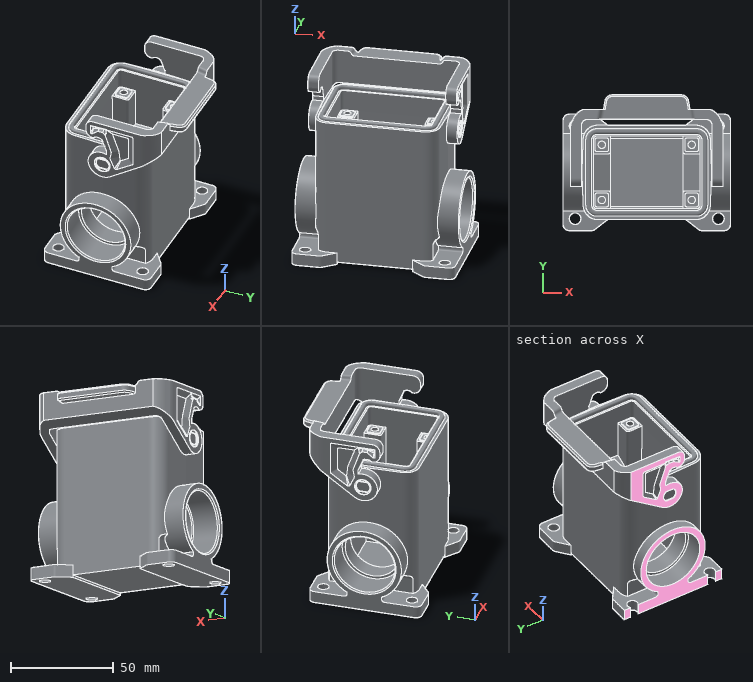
import cadquery as cq
import math

plate_length = 82.0
plate_half_x = plate_length / 2
plate_half_y = 28.55
plate_height = 6.2
plate_corner_radius = 3.1
foot_inner_x = 19.0
foot_bevel_x = 26.1
foot_bevel_radius = 2.4
screw_x = 35.0
screw_y = 22.6
screw_hole_radius = 2.8

body_bottom = 1.2
shoulder_z = 75.4
rim_top = 77.0
body_half_y = 23.1
body_side_x = 31.7
body_corner_x = 30.9
body_corner_radius = 7.1

bead_half_x = 29.8
bead_half_y = 21.4
bead_width = 2.9
bead_corner_radius = 5.5
bead_round = 1.1
rim_ledge_z = 74.8

cavity_half_x = 26.1
cavity_half_y = 17.7
cavity_floor_half_y = 16.6
cavity_corner_radius = 1.6
floor_z = 3.2
sill_inner_x = 17.65
sill_inner_z = 39.9
sill_rise = 4.1

ledge_z = 64.4
post_top = 64.9
post_x = 22.0
post_y = 13.5
pad_size = 6.7
post_inner_y = 9.1
post_edge_radius = 1.1
post_hole_radius = 3.6 / 2
post_hole_depth = 18.5

entry_z = 25.5
entry_radius = 38.0 / 2
entry_bore_radius = 15.5
entry_mouth_radius = 16.3
entry_inner_radius = 13.95
entry_step_x = 26.8
web_half_width = 8.9
web_round = 1.5

relief_x = 28.7
relief_top = 17.0
relief_round = 3.0

lever_top = 92.4
lever_outer_x = 37.3
lever_inner_x = 31.9
lever_back_y = 30.9
lever_back_inner_y = 25.9
lever_back_bottom = 78.5
lever_inner_radius = 2.8
lever_corner_x = 31.0
lever_corner_y = 21.8
pivot_y = 1.85
pivot_z = 67.4
pivot_radius = 7.5
hook_front_y = -6.8
hook_round = 3.8
hook_tip_start_z = 85.9
hook_tip_end = (-2.6, 82.6)
hook_tip_radius = 3.7
hook_throat_top = (-0.3, 83.6)
hook_throat_end = (1.85, 82.6)
neck_front_y = 4.2
neck_top_z = 76.8

corner_arc_mid = (33.5, 29.4)
corner_flat_start = (35.6, 26.9)
corner_flat_end = (36.9, 24.5)
cheek_arc_mid = (37.2, 23.2)

pin_radius = 4.2
pin_overlap = 0.9
pin_recess_depth = 0.4
pin_flat_radius = 3.5
pin_flat_half = 2.8
pin_flat_depth = 0.9

pocket_depth = 1.9
pocket_corner_radius = 1.5
hook_pocket_depth = 1.4

handle_top = 90.1
handle_bottom = 85.8
handle_tip_y = 38.0
handle_root_x = 22.0
handle_tip_x = 20.0
handle_corner_radius = 3.7
handle_bevel = 0.8
notch_inner_half_x = 24.7
notch_back_half_x = 23.8
notch_slope_width = 3.5


def block(x0, x1, y0, y1, z0, z1):
    """Box between two opposite corners."""
    return cq.Workplane("XY").box(x1 - x0, y1 - y0, z1 - z0, centered=False).translate((x0, y0, z0))


def both_sides(shape):
    """The shape together with its mirror image across x = 0."""
    return shape.union(shape.mirror("YZ"))


def make_foot():
    """End plate at +X with bevelled inner corners and two screw holes."""
    outline = [
        (foot_inner_x, -body_half_y),
        (foot_bevel_x, -plate_half_y),
        (plate_half_x, -plate_half_y),
        (plate_half_x, plate_half_y),
        (foot_bevel_x, plate_half_y),
        (foot_inner_x, body_half_y),
    ]
    foot = cq.Workplane("XY").polyline(outline).close().extrude(plate_height)
    foot = foot.edges("|Z and >X").fillet(plate_corner_radius)
    for side in (-1, 1):
        bevel_edge = cq.selectors.NearestToPointSelector(
            (foot_bevel_x, side * plate_half_y, plate_height / 2)
        )
        foot = foot.edges(bevel_edge).fillet(foot_bevel_radius)
    holes = (
        cq.Workplane("XY")
        .pushPoints([(screw_x, -screw_y), (screw_x, screw_y)])
        .circle(screw_hole_radius)
        .extrude(plate_height)
    )
    return foot.cut(holes)


def make_body():
    """Solid housing block with rounded corners and reliefs above the plate."""
    outline = [
        (body_corner_x, -body_half_y),
        (body_side_x, 0),
        (body_corner_x, body_half_y),
        (-body_corner_x, body_half_y),
        (-body_side_x, 0),
        (-body_corner_x, -body_half_y),
    ]
    body = (
        cq.Workplane("XY")
        .workplane(offset=body_bottom)
        .polyline(outline)
        .close()
        .extrude(shoulder_z - body_bottom)
    )
    body = body.edges("|Z and (>Y or <Y)").fillet(body_corner_radius)
    relief = block(relief_x, plate_half_x, -plate_half_y, plate_half_y, plate_height, relief_top)
    relief = relief.edges("|Y and <X and >Z").fillet(relief_round)
    return body.cut(both_sides(relief))


def make_rim_bead():
    """Rounded bead standing on the shoulder, and the opening that it encloses."""
    opening_half_x = bead_half_x - bead_width
    opening_half_y = bead_half_y - bead_width
    bead = block(-bead_half_x, bead_half_x, -bead_half_y, bead_half_y, shoulder_z, rim_top)
    bead = bead.edges("|Z").fillet(bead_corner_radius)
    opening = block(
        -opening_half_x, opening_half_x, -opening_half_y, opening_half_y, rim_ledge_z, rim_top
    )
    opening = opening.edges("|Z").fillet(bead_corner_radius - bead_width)
    bead = bead.cut(opening).faces(">Z").edges().fillet(bead_round)
    return bead, opening


def make_cavity():
    """Inner space narrowing in Y below the post ledge, less the sloped sills that carry the entry bores."""
    section = [
        (-cavity_floor_half_y, floor_z),
        (cavity_floor_half_y, floor_z),
        (cavity_half_y, ledge_z),
        (cavity_half_y, rim_top),
        (-cavity_half_y, rim_top),
        (-cavity_half_y, ledge_z),
    ]
    cavity = cq.Workplane("YZ").polyline(section).close().extrude(cavity_half_x, both=True)
    envelope = block(-cavity_half_x, cavity_half_x, -cavity_half_y, cavity_half_y, floor_z, rim_top)
    cavity = cavity.intersect(envelope.edges("|Z").fillet(cavity_corner_radius))
    sill_profile = [
        (sill_inner_x, floor_z),
        (cavity_half_x, floor_z),
        (cavity_half_x, sill_inner_z + sill_rise),
        (sill_inner_x, sill_inner_z),
    ]
    sill = cq.Workplane("XZ").polyline(sill_profile).close().extrude(cavity_half_y, both=True)
    return cavity.cut(both_sides(sill))


def make_posts():
    """Four corner posts, each with a smaller raised pad and a blind screw hole."""
    centres = [(sx * post_x, sy * post_y) for sx in (-1, 1) for sy in (-1, 1)]
    pads = (
        cq.Workplane("XY")
        .workplane(offset=ledge_z)
        .pushPoints(centres)
        .rect(pad_size, pad_size)
        .extrude(post_top - ledge_z)
        .edges("|Z")
        .fillet(post_edge_radius)
    )
    post = block(sill_inner_x, cavity_half_x, post_inner_y, cavity_half_y, floor_z, ledge_z)
    post = post.edges("|Z and <X and <Y").fillet(post_edge_radius)
    end_posts = post.union(post.mirror("XZ"))
    holes = (
        cq.Workplane("XY")
        .workplane(offset=post_top - post_hole_depth)
        .pushPoints(centres)
        .circle(post_hole_radius)
        .extrude(post_hole_depth)
    )
    return both_sides(end_posts).union(pads).cut(holes)


def x_cylinder(radius, y, z, x0, x1):
    """Cylinder along X."""
    return cq.Workplane("YZ").workplane(offset=x0).center(y, z).circle(radius).extrude(x1 - x0)


def make_entry():
    """Cable entry collar at +X, joined to the plate by a web with rounded roots."""
    collar = x_cylinder(entry_radius, 0, entry_z, cavity_half_x, plate_half_x)
    web = block(
        cavity_half_x, plate_half_x, -web_half_width, web_half_width, plate_height, entry_z
    )
    root_strip = block(
        cavity_half_x, plate_half_x,
        -web_half_width - web_round, web_half_width + web_round,
        plate_height, plate_height + web_round,
    )
    for side in (-1, 1):
        root_strip = root_strip.cut(
            x_cylinder(
                web_round, side * (web_half_width + web_round), plate_height + web_round,
                cavity_half_x, plate_half_x,
            )
        )
    return collar.union(web).union(root_strip)


def make_entry_bore():
    """Stepped bore of the +X cable entry with a chamfered mouth."""
    bore = x_cylinder(entry_bore_radius, 0, entry_z, entry_step_x, plate_half_x)
    inner = x_cylinder(entry_inner_radius, 0, entry_z, 0, plate_half_x)
    mouth_depth = entry_mouth_radius - entry_bore_radius
    mouth = cq.Workplane(
        cq.Solid.makeCone(
            entry_bore_radius, entry_mouth_radius, mouth_depth,
            cq.Vector(plate_half_x - mouth_depth, 0, entry_z), cq.Vector(1, 0, 0),
        )
    )
    return bore.union(inner).union(mouth)


def make_lever_bow():
    """U-shaped lever: its side outline crossed with its plan outline."""
    rise = lever_back_bottom - pivot_z
    run = lever_back_y - pivot_y
    lever_slope = math.atan2(rise, run) + math.asin(pivot_radius / math.hypot(rise, run))
    tangent_y = pivot_y + pivot_radius * math.sin(lever_slope)
    tangent_z = pivot_z - pivot_radius * math.cos(lever_slope)
    side = (
        cq.Workplane("YZ")
        .moveTo(lever_back_y, lever_top)
        .lineTo(hook_front_y + hook_round, lever_top)
        .radiusArc((hook_front_y, lever_top - hook_round), -hook_round)
        .lineTo(hook_front_y, hook_tip_start_z)
        .radiusArc(hook_tip_end, -hook_tip_radius)
        .threePointArc(hook_throat_top, hook_throat_end)
        .lineTo(neck_front_y, neck_top_z)
        .lineTo(neck_front_y, pivot_z)
        .lineTo(tangent_y, tangent_z)
        .lineTo(lever_back_y, lever_back_bottom)
        .close()
        .extrude(lever_outer_x, both=True)
    )
    eye = x_cylinder(pivot_radius, pivot_y, pivot_z, -lever_outer_x, lever_outer_x)
    outer = (
        cq.Workplane("XY")
        .moveTo(0, lever_back_y)
        .lineTo(lever_corner_x, lever_back_y)
        .threePointArc(corner_arc_mid, corner_flat_start)
        .lineTo(*corner_flat_end)
        .threePointArc(cheek_arc_mid, (lever_outer_x, lever_corner_y))
        .lineTo(lever_outer_x, -body_half_y)
        .lineTo(0, -body_half_y)
        .close()
        .extrude(lever_top)
    )
    outer = both_sides(outer)
    inner = block(-lever_inner_x, lever_inner_x, -body_half_y, lever_back_inner_y, 0, lever_top)
    inner = inner.edges("|Z and >Y").fillet(lever_inner_radius)
    return side.union(eye).intersect(outer.cut(inner))


def sloped_pocket(mouth, floor, depth):
    """Pocket in the +X cheek whose walls slope from the mouth outline to the floor outline."""
    return (
        cq.Workplane("YZ")
        .workplane(offset=lever_outer_x - depth)
        .polyline(floor)
        .close()
        .workplane(offset=depth)
        .polyline(mouth)
        .close()
        .loft(ruled=True)
    )


def round_pocket_corner(pocket, mouth_corner, floor_corner):
    """Round the sloped edge of the main pocket between a mouth corner and a floor corner."""
    edge_middle = (
        lever_outer_x - pocket_depth / 2,
        (mouth_corner[0] + floor_corner[0]) / 2,
        (mouth_corner[1] + floor_corner[1]) / 2,
    )
    return pocket.edges(cq.selectors.NearestToPointSelector(edge_middle)).fillet(pocket_corner_radius)


def make_cheek_pockets():
    """Main pocket and the shallow pocket reaching into the hook, outlined by (y, z) corners."""
    main_mouth = [
        (18.4, 89.7), (4.1, 89.7), (3.5, 86.2), (6.8, 76.5),
        (6.1, 72.4), (8.5, 67.1), (9.4, 66.7), (18.4, 72.8),
    ]
    main_floor = [
        (15.2, 86.6), (6.7, 86.6), (6.65, 86.2), (10.1, 76.8),
        (10.4, 73.5), (10.7, 71.5), (11.0, 71.3), (15.2, 74.3),
    ]
    hook_mouth = [
        (4.25, 89.7), (-4.4, 89.7), (-4.4, 85.2), (-3.6, 84.8), (-0.4, 87.4), (2.2, 87.4), (3.5, 86.2),
    ]
    hook_floor = [
        (4.25, 88.8), (-3.5, 88.15), (-3.6, 87.2), (-3.4, 87.0), (-0.4, 88.15), (2.2, 88.6), (4.25, 88.1),
    ]
    main = sloped_pocket(main_mouth, main_floor, pocket_depth)
    main = round_pocket_corner(main, main_mouth[0], main_floor[0])
    main = round_pocket_corner(main, main_mouth[-1], main_floor[-1])
    hook = sloped_pocket(hook_mouth, hook_floor, hook_pocket_depth)
    return main.union(hook)


def make_pin_recess():
    """Round recess over the pivot pin with a deeper flat-sided seat."""
    outer = x_cylinder(pin_radius, pivot_y, pivot_z, lever_outer_x - pin_recess_depth, lever_outer_x)
    seat = x_cylinder(pin_flat_radius, pivot_y, pivot_z, lever_outer_x - pin_flat_depth, lever_outer_x)
    flats = block(
        0, lever_outer_x, pivot_y - pin_flat_radius, pivot_y + pin_flat_radius,
        pivot_z - pin_flat_half, pivot_z + pin_flat_half,
    )
    return outer.union(seat.intersect(flats))


def make_handle():
    """Tapered thumb tab on the back of the lever with bevelled edges."""
    outline = [
        (-handle_root_x, lever_back_inner_y),
        (handle_root_x, lever_back_inner_y),
        (handle_tip_x, handle_tip_y),
        (-handle_tip_x, handle_tip_y),
    ]
    handle = (
        cq.Workplane("XY")
        .workplane(offset=handle_bottom)
        .polyline(outline)
        .close()
        .extrude(handle_top - handle_bottom)
        .edges("|Z and >Y")
        .fillet(handle_corner_radius)
    )
    return handle.faces(">Z or <Z").edges("not(<Y)").chamfer(handle_bevel)


def notch_outline(plane, half_x):
    """Add the notch outline, whose ends fall in an S-curve of two equal arcs, to a workplane."""
    step_x = notch_slope_width / 2
    step_z = (lever_top - handle_top) / 2
    radius = (step_x**2 + step_z**2) / (2 * step_z)
    return (
        plane.moveTo(-half_x, lever_top)
        .radiusArc((step_x - half_x, lever_top - step_z), radius)
        .radiusArc((2 * step_x - half_x, handle_top), -radius)
        .lineTo(half_x - 2 * step_x, handle_top)
        .radiusArc((half_x - step_x, lever_top - step_z), -radius)
        .radiusArc((half_x, lever_top), radius)
        .close()
    )


def make_notch():
    """Shallow drop of the lever's back wall above the handle, narrowing slightly towards the back."""
    inner = cq.Workplane("XZ", origin=(0, lever_back_inner_y, 0))
    inner = notch_outline(inner, notch_inner_half_x)
    back = inner.workplane(offset=lever_back_inner_y - lever_back_y)
    return notch_outline(back, notch_back_half_x).loft(ruled=True)


bead, opening = make_rim_bead()
housing = make_body().cut(opening).union(bead)
housing = housing.union(both_sides(make_foot())).union(both_sides(make_entry()))
housing = housing.cut(make_cavity()).union(make_posts())
housing = housing.cut(both_sides(make_entry_bore()))

lever = make_lever_bow().cut(both_sides(make_cheek_pockets())).cut(make_notch()).union(make_handle())
pin = x_cylinder(
    pin_radius, pivot_y, pivot_z, body_corner_x - pin_overlap, lever_inner_x + pin_overlap
)
lever = lever.union(both_sides(pin)).cut(both_sides(make_pin_recess()))

result = housing.union(lever)